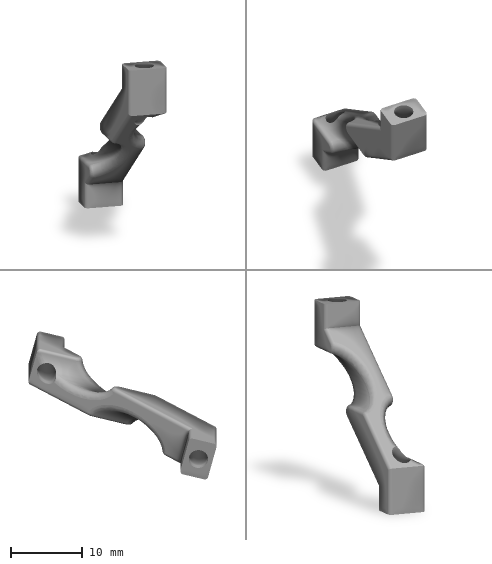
import cadquery as cq

length = 26.0
height = 26.0
thickness = 5.6
post_width = 4.0
post_outer_height = 6.63
post_inner_height = 3.45
hole_diameter = 2.7
groove_radius = 3.17
groove_depth = thickness / 2
groove_offset = 3.12
lip_radius = 1.0
edge_radius = 0.5
tolerance = 0.003

mid_height = height / 2
axis_outside = groove_radius - groove_depth


def make_bar():
    """Z-shaped bar: two upright end posts joined by a sloping arm."""
    outline = [
        (0, 0),
        (post_width, 0),
        (post_width, post_inner_height),
        (length, height - post_outer_height),
        (length, height),
        (length - post_width, height),
        (length - post_width, height - post_inner_height),
        (0, post_outer_height),
    ]
    return cq.Workplane("XZ").polyline(outline).close().extrude(-thickness)


def make_groove(y, z):
    """Cylinder along X that cuts a groove across the sloping arm."""
    return cq.Workplane("YZ").center(y, z).circle(groove_radius).extrude(length)


def is_groove_lip(edge):
    """True for the curved edges where a groove leaves the sloping faces."""
    return edge.geomType() not in ("LINE", "CIRCLE")


def is_side_edge(edge):
    """True for edges on a side face, except those of the flat post ends."""
    box = edge.BoundingBox()
    on_side = box.ymax < tolerance or box.ymin > thickness - tolerance
    on_end = box.zmax < tolerance or box.zmin > height - tolerance
    return on_side and not on_end


def fillet_where(body, condition, radius):
    edges = [edge for edge in body.edges().vals() if condition(edge)]
    return body.newObject(edges).fillet(radius)


bar = make_bar()
bar = bar.cut(make_groove(-axis_outside, mid_height - groove_offset))
bar = bar.cut(make_groove(thickness + axis_outside, mid_height + groove_offset))
bar = fillet_where(bar, is_groove_lip, lip_radius)
bar = fillet_where(bar, is_side_edge, edge_radius)

hole_inset = post_width / 2
for x in (hole_inset, length - hole_inset):
    hole = cq.Workplane("XY").center(x, thickness / 2).circle(hole_diameter / 2).extrude(height)
    bar = bar.cut(hole)

result = bar